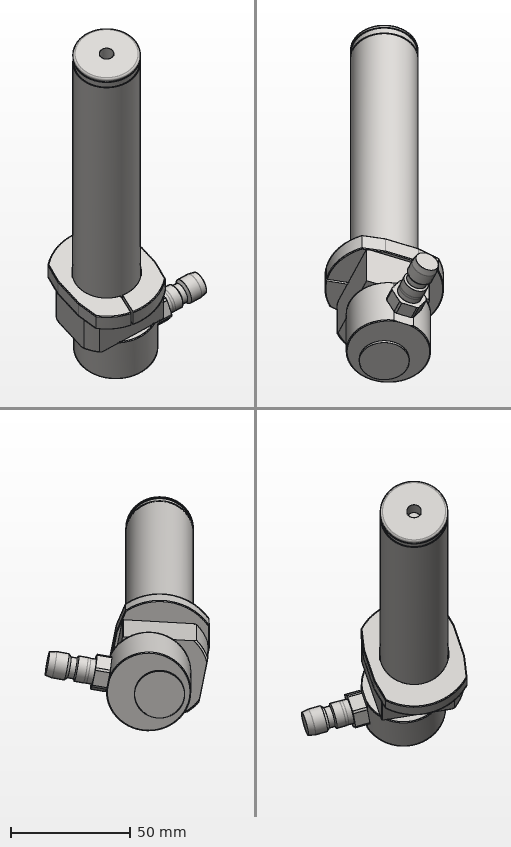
import cadquery as cq
import math

TOTAL_HEIGHT = 195.0
HEAD_BOTTOM = 1.2
BLOCK_BOTTOM = 25.2
COLLAR_BOTTOM = 45.0
COLLAR_TOP = 53.5

ROD_RADIUS = 28.5 / 2
ROD_TOP_FILLET = 1.0
ROD_GROOVE_RADIUS = 13.8
ROD_GROOVE_TOP = TOTAL_HEIGHT - 2.0
ROD_GROOVE_BOTTOM = TOTAL_HEIGHT - 5.5
ROD_HOLE_DIAMETER = 6.0
ROD_HOLE_DEPTH = 7.8

BLOCK_LEFT_FRONT = -18.0
BLOCK_LEFT_BACK = -13.3
BLOCK_RIGHT = 15.5
BLOCK_FRONT = -18.7
BLOCK_BACK = 18.3
BLOCK_BACK_CHAMFER = 0.4
BLOCK_CORNER_RADIUS = 21.3
BLOCK_CORNER_CHAMFER = 0.8

HEAD_RADIUS = 17.7
HEAD_CENTER_Y = 4.7
HEAD_SEAT_Y = 21.8
HEAD_CHAMFER = 0.4
FOOT_DIAMETER = 21.0

NIPPLE_Z = 13.3
HEX_ACROSS_FLATS = 14.0
HEX_TRIM_DIAMETER = 15.6
HEX_END_Y = 28.0
BARB_RADIUS = 5.7
SHANK_RIM_RADIUS = 11.0 / 2
SHANK_RADIUS = 10.7 / 2
NECK_RADIUS = 9.0 / 2
TIP_RADIUS = 5.0
TIP_Y = 48.0
TIP_TAPER_Y = 45.0
BARB_END_Y = 39.8
NECK_END_Y = 38.6
NECK_START_Y = 36.0
SHANK_END_Y = 35.5
SHANK_RING_Y = 31.5
SHANK_START_Y = 30.5

COLLAR_RADIUS = 25.0
COLLAR_BORE_RADIUS = 14.6
COLLAR_HALF_DEPTH = 19.9
COLLAR_FLAT_HALF_WIDTH = 7.5
COLLAR_SHOULDER_X = 17.4
COLLAR_CHAMFER = 0.4
SLIT_WIDTH = 1.0
SLIT_ANGLE = -10.0


def cylinder(radius, bottom, top, center_y=0.0):
    return cq.Workplane("XY", origin=(0, center_y, bottom)).circle(radius).extrude(top - bottom)


def make_rod():
    rod = cylinder(ROD_RADIUS, COLLAR_BOTTOM, TOTAL_HEIGHT)
    rod = rod.faces(">Z").edges().fillet(ROD_TOP_FILLET)
    groove = cylinder(ROD_RADIUS, ROD_GROOVE_BOTTOM, ROD_GROOVE_TOP).cut(
        cylinder(ROD_GROOVE_RADIUS, ROD_GROOVE_BOTTOM, ROD_GROOVE_TOP)
    )
    hole = cylinder(ROD_HOLE_DIAMETER / 2, TOTAL_HEIGHT - ROD_HOLE_DEPTH, TOTAL_HEIGHT)
    return rod.cut(groove).cut(hole)


def make_block():
    height = COLLAR_BOTTOM - BLOCK_BOTTOM
    outline = (
        cq.Workplane("XY", origin=(0, 0, BLOCK_BOTTOM))
        .polyline([
            (BLOCK_LEFT_FRONT, BLOCK_FRONT),
            (BLOCK_RIGHT, BLOCK_FRONT),
            (BLOCK_RIGHT, BLOCK_BACK),
            (BLOCK_LEFT_BACK + BLOCK_BACK_CHAMFER, BLOCK_BACK),
            (BLOCK_LEFT_BACK, BLOCK_BACK - BLOCK_BACK_CHAMFER),
        ])
        .close()
        .extrude(height)
    )
    rear_space = cq.Workplane("XY", origin=(0, 0, BLOCK_BOTTOM)).box(
        2 * COLLAR_RADIUS, BLOCK_BACK, height, centered=(True, False, False)
    )
    front_space = cylinder(BLOCK_CORNER_RADIUS, BLOCK_BOTTOM, COLLAR_BOTTOM)
    front_space = front_space.faces("<Z or >Z").chamfer(BLOCK_CORNER_CHAMFER)
    return outline.intersect(front_space.union(rear_space))


def make_head():
    head = cylinder(HEAD_RADIUS, HEAD_BOTTOM, BLOCK_BOTTOM, HEAD_CENTER_Y)
    head = head.faces("<Z or >Z").chamfer(HEAD_CHAMFER)
    beyond_seat = cq.Workplane("XY", origin=(0, HEAD_SEAT_Y, 0)).box(
        2 * HEAD_RADIUS, HEAD_RADIUS, BLOCK_BOTTOM, centered=(True, False, False)
    )
    foot = cylinder(FOOT_DIAMETER / 2, 0, HEAD_BOTTOM)
    return head.cut(beyond_seat).union(foot)


def make_hex():
    hex_plane = cq.Workplane("XZ", origin=(0, HEAD_SEAT_Y, NIPPLE_Z))
    hex_length = HEX_END_Y - HEAD_SEAT_Y
    across_corners = HEX_ACROSS_FLATS / math.cos(math.pi / 6)
    nut = hex_plane.polygon(6, across_corners).extrude(-hex_length)
    return nut.intersect(hex_plane.circle(HEX_TRIM_DIAMETER / 2).extrude(-hex_length))


def make_stem():
    return (
        cq.Workplane("XY", origin=(0, 0, NIPPLE_Z))
        .moveTo(0, HEAD_SEAT_Y)
        .lineTo(SHANK_RADIUS, HEAD_SEAT_Y)
        .lineTo(SHANK_RADIUS, SHANK_START_Y)
        .lineTo(SHANK_RIM_RADIUS, SHANK_RING_Y)
        .lineTo(SHANK_RIM_RADIUS, SHANK_END_Y)
        .lineTo(NECK_RADIUS, NECK_START_Y)
        .lineTo(NECK_RADIUS, NECK_END_Y)
        .lineTo(BARB_RADIUS, BARB_END_Y)
        .lineTo(BARB_RADIUS, TIP_TAPER_Y)
        .lineTo(TIP_RADIUS, TIP_Y)
        .lineTo(0, TIP_Y)
        .close()
        .revolve(360, (0, 0, 0), (0, 1, 0))
    )


def make_collar():
    shoulder_y = math.sqrt(COLLAR_RADIUS**2 - COLLAR_SHOULDER_X**2)
    collar = (
        cq.Workplane("XY", origin=(0, 0, COLLAR_BOTTOM))
        .moveTo(-COLLAR_FLAT_HALF_WIDTH, -COLLAR_HALF_DEPTH)
        .lineTo(COLLAR_FLAT_HALF_WIDTH, -COLLAR_HALF_DEPTH)
        .lineTo(COLLAR_SHOULDER_X, -shoulder_y)
        .threePointArc((COLLAR_RADIUS, 0), (COLLAR_SHOULDER_X, shoulder_y))
        .lineTo(COLLAR_FLAT_HALF_WIDTH, COLLAR_HALF_DEPTH)
        .lineTo(-COLLAR_FLAT_HALF_WIDTH, COLLAR_HALF_DEPTH)
        .lineTo(-COLLAR_SHOULDER_X, shoulder_y)
        .threePointArc((-COLLAR_RADIUS, 0), (-COLLAR_SHOULDER_X, -shoulder_y))
        .close()
        .extrude(COLLAR_TOP - COLLAR_BOTTOM)
        .faces("<Z or >Z")
        .chamfer(COLLAR_CHAMFER)
    )
    bore = cylinder(COLLAR_BORE_RADIUS, COLLAR_BOTTOM, COLLAR_TOP)
    slit = (
        cq.Workplane("XY", origin=(0, 0, COLLAR_BOTTOM))
        .box(2 * COLLAR_RADIUS, SLIT_WIDTH, COLLAR_TOP - COLLAR_BOTTOM, centered=(False, True, False))
        .rotate((0, 0, 0), (0, 0, 1), SLIT_ANGLE)
    )
    return collar.cut(bore).cut(slit)


cylinder_unit = make_block().union(make_head()).union(make_rod()).union(make_hex()).union(make_stem())
split_collar = make_collar()

result = cq.Compound.makeCompound([cylinder_unit.val(), split_collar.val()])